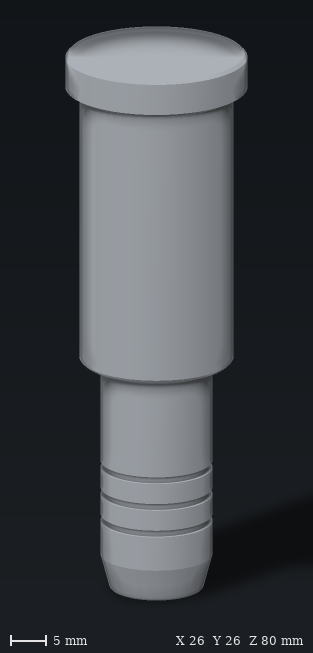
import cadquery as cq
import math

total_height = 80.0
head_height = 5.0
shank_top = 34.0
taper_height = 5.0

head_radius = 13.0
body_radius = 11.0
shank_radius = 8.0
taper_angle = 15.0
tip_radius = shank_radius - taper_height * math.tan(math.radians(taper_angle))

edge_chamfer = 0.5
tip_fillet = 0.5
groove_width = 1.0
groove_depth = 0.5
ring_groove_count = 3
ring_groove_start = 10.0
ring_groove_pitch = 4.0

head_bottom = total_height - head_height


def cylinder(bottom, top, radius):
    return cq.Workplane("XY").workplane(offset=bottom).circle(radius).extrude(top - bottom)


def cut_groove(part, bottom, outer_radius, rounded=True):
    """Turn an annular groove, optionally with a fillet between its floor and upper wall."""
    floor_radius = outer_radius - groove_depth
    top = bottom + groove_width
    outline = cq.Workplane("XZ").moveTo(outer_radius, bottom).lineTo(floor_radius, bottom)
    if rounded:
        diagonal_offset = groove_depth * math.sqrt(0.5)
        outline = outline.lineTo(floor_radius, top - groove_depth).threePointArc(
            (outer_radius - diagonal_offset, top - groove_depth + diagonal_offset),
            (outer_radius, top),
        )
    else:
        outline = outline.lineTo(floor_radius, top).lineTo(outer_radius, top)
    return part.cut(outline.close().revolve(360, (0, 0, 0), (0, 1, 0)))


def make_shank():
    """Grooved lower shank with a tapered lead-in and an undercut at its top."""
    profile = (
        cq.Workplane("XZ")
        .polyline([
            (0, 0),
            (tip_radius, 0),
            (shank_radius, taper_height),
            (shank_radius, shank_top),
            (0, shank_top),
        ])
        .close()
    )
    shank = profile.revolve(360, (0, 0, 0), (0, 1, 0))
    shank = shank.faces("<Z").fillet(tip_fillet)
    for index in range(ring_groove_count):
        shank = cut_groove(shank, ring_groove_start + index * ring_groove_pitch, shank_radius)
    return cut_groove(shank, shank_top - groove_width, shank_radius, rounded=False)


def make_body():
    """Large guide cylinder with a chamfered lower edge and an undercut below the head."""
    body = cylinder(shank_top, head_bottom, body_radius).faces("<Z").chamfer(edge_chamfer)
    return cut_groove(body, head_bottom - groove_width, body_radius)


def make_head():
    """Flat head with a chamfered upper edge."""
    return cylinder(head_bottom, total_height, head_radius).faces(">Z").chamfer(edge_chamfer)


result = make_shank().union(make_body()).union(make_head())